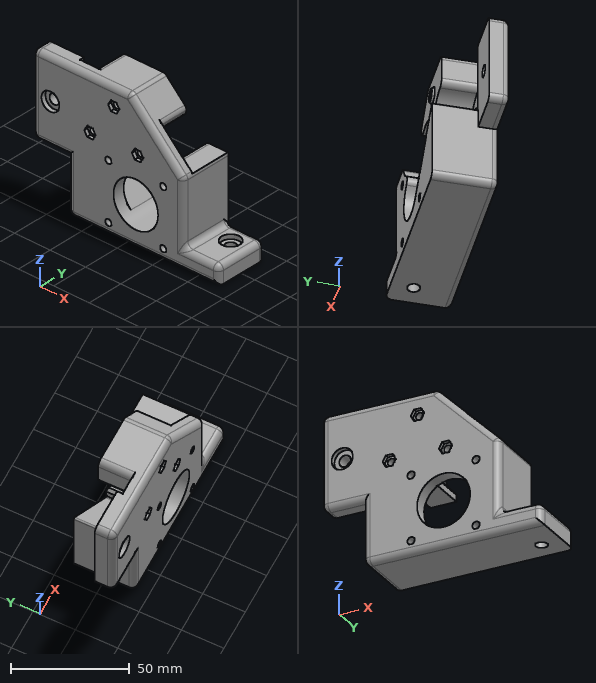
import cadquery as cq

import math

LENGTH = 105.0
DEPTH = 29.0
HEIGHT = 75.0
EDGE_RADIUS = 3.0
OVERCUT = 5.2

BODY_LEFT = 20.0
BODY_RIGHT = 84.8
EAR_BOTTOM = 30.0
EAR_THICKNESS = 9.0
EAR_REAR_END = 21.0
FOOT_HEIGHT = 10.1
SLOPE_TOP_X = 54.8
SLOPE_BOTTOM_Z = HEIGHT - (BODY_RIGHT - SLOPE_TOP_X)

FOOT_SPLIT_Y = DEPTH / 2
ROUNDED_CORNERS = [
    (0, EAR_BOTTOM),
    (0, HEIGHT),
    (SLOPE_TOP_X, HEIGHT),
    (BODY_RIGHT, SLOPE_BOTTOM_Z),
    (LENGTH, FOOT_HEIGHT),
    (BODY_LEFT, 0),
]
PICK_REACH = 0.1

MOTOR = (58.3, 21.4)
MOTOR_BORE_RADIUS = 12.6
MOTOR_SCREW_SPACING = 31.0
SCREW_HOLE_DIAMETER = 3.5

IDLER_SPACING = 26.9
IDLER_RISE = 18.5
IDLER_LEFT = (32.3, 46.3)
IDLER_RIGHT = (IDLER_LEFT[0] + IDLER_SPACING, IDLER_LEFT[1])
IDLER_TOP = (IDLER_LEFT[0] + IDLER_SPACING / 2, IDLER_LEFT[1] + IDLER_RISE)
IDLER_CLEARANCE_RADIUS = 12.5
NUT_WIDTH_ACROSS_CORNERS = 6.3
NUT_DEPTH = 2.0
SPACER_BASE_RADIUS = 3.8
SPACER_TOP_RADIUS = 2.9
SPACER_HEIGHT = 1.0

FLOOR_Y = 6.4
WALL_TOP_Z = 44.9
CHANNEL_SLOPE = 43.0
TIP_RADIUS = 0.5
BLOCK_LEFT = 29.8
BLOCK_RIGHT = 66.8
BLOCK_TOP_Y = 22.5
WEB_LEFT = 39.6
WEB_RIGHT = 52.1
WEB_BOTTOM = 32.5
WEB_TOP = 51.7
WEB_TOP_Y = BLOCK_TOP_Y + SPACER_HEIGHT

MOUNT_DIAMETER = 5.5
MOUNT_HEAD_DIAMETER = 10.1
MOUNT_HEAD_DEPTH = 2.5
EAR_HOLE = (10.0, 52.4)
FOOT_HOLE = (95.0, 18.9)


def at_depth(y):
    """Workplane across Y whose local axes are the part's X and Z."""
    return cq.Workplane("XZ", origin=(0, y, 0))


def prism(sketch, thickness):
    """Extrude a sketch drawn by at_depth toward the rear (+Y)."""
    return sketch.extrude(-thickness)


def box(x0, x1, y0, y1, z0, z1):
    return cq.Workplane("XY").box(x1 - x0, y1 - y0, z1 - z0, centered=False).translate((x0, y0, z0))


def cylinder(center, radius, y0, y1):
    return prism(at_depth(y0).center(*center).circle(radius), y1 - y0)


def toward(start, end, distance):
    """Point at a distance from start in the direction of end."""
    span = math.dist(start, end)
    return tuple(s + (e - s) * distance / span for s, e in zip(start, end))


def arc_middle(center, start, end):
    """Middle of the shorter circular arc between two points around a center."""
    chord_middle = ((start[0] + end[0]) / 2, (start[1] + end[1]) / 2)
    return toward(center, chord_middle, math.dist(center, start))


def edges_near(solid, low, high):
    """Edges whose middles lie inside the box between two corner points."""
    return solid.edges(cq.selectors.BoxSelector(low, high))


def corner_edge(solid, x, z):
    """Edge parallel to Y that stands on the outline corner (x, z)."""
    low = (x - PICK_REACH, -PICK_REACH, z - PICK_REACH)
    high = (x + PICK_REACH, DEPTH + PICK_REACH, z + PICK_REACH)
    return edges_near(solid, low, high).edges("|Y")


def make_body():
    """Main body with the ear and the front part of the foot, rounded all around the front."""
    main = prism(
        at_depth(0).polyline([
            (BODY_LEFT, 0),
            (BODY_RIGHT, 0),
            (BODY_RIGHT, SLOPE_BOTTOM_Z),
            (SLOPE_TOP_X, HEIGHT),
            (BODY_LEFT, HEIGHT),
        ]).close(),
        DEPTH,
    )
    ear = box(0, EAR_REAR_END, 0, EAR_THICKNESS, EAR_BOTTOM, HEIGHT)
    foot_front = box(BODY_LEFT, LENGTH, 0, FOOT_SPLIT_Y, 0, FOOT_HEIGHT)
    body = main.union(ear).union(foot_front).clean()

    edges = body.faces("<Y").edges()
    for x, z in ROUNDED_CORNERS:
        edges = edges.add(corner_edge(body, x, z))
    body = edges.fillet(EDGE_RADIUS)
    return corner_edge(body, BODY_RIGHT, FOOT_HEIGHT).fillet(EDGE_RADIUS)


def make_foot_rear():
    """Rear part of the foot with its inner corner, rounded along the rear and the right end."""
    root_x = BODY_RIGHT - EDGE_RADIUS
    corner_top = (BODY_RIGHT, FOOT_HEIGHT + EDGE_RADIUS)
    corner_end = (BODY_RIGHT + EDGE_RADIUS, FOOT_HEIGHT)
    corner_center = (corner_end[0], corner_top[1])
    foot = prism(
        at_depth(FOOT_SPLIT_Y)
        .moveTo(root_x, 0)
        .lineTo(LENGTH, 0)
        .lineTo(LENGTH, FOOT_HEIGHT)
        .lineTo(*corner_end)
        .threePointArc(arc_middle(corner_center, corner_end, corner_top), corner_top)
        .lineTo(root_x, corner_top[1])
        .close(),
        DEPTH - FOOT_SPLIT_Y,
    )
    rear_low = (BODY_RIGHT + PICK_REACH, DEPTH - PICK_REACH, PICK_REACH)
    rear_high = (LENGTH + PICK_REACH, DEPTH + PICK_REACH, HEIGHT)
    edges = edges_near(foot, rear_low, rear_high).add(corner_edge(foot, LENGTH, FOOT_HEIGHT))
    return edges.fillet(EDGE_RADIUS)


def make_pocket():
    """Open space behind the front plate, before the raised block is left standing."""
    slope = math.radians(CHANNEL_SLOPE)
    run = (math.cos(slope), -math.sin(slope))
    line_end = (MOTOR[0] + run[1] * MOTOR_BORE_RADIUS, MOTOR[1] - run[0] * MOTOR_BORE_RADIUS)
    sharp_tip = (BODY_LEFT, line_end[1] + (BODY_LEFT - line_end[0]) * run[1] / run[0])

    tip_angle = math.acos(-run[1])
    tip_setback = TIP_RADIUS / math.tan(tip_angle / 2)
    tip_start = (BODY_LEFT, sharp_tip[1] - tip_setback)
    tip_end = toward(sharp_tip, line_end, tip_setback)
    tip_center = (BODY_LEFT + TIP_RADIUS, tip_start[1])

    bore_reach = MOTOR_BORE_RADIUS + EDGE_RADIUS
    idler_reach = IDLER_CLEARANCE_RADIUS + EDGE_RADIUS
    span = math.dist(MOTOR, IDLER_RIGHT)
    along = (span**2 + bore_reach**2 - idler_reach**2) / (2 * span)
    aside = math.sqrt(bore_reach**2 - along**2)
    foot = toward(MOTOR, IDLER_RIGHT, along)
    unit = toward((0, 0), (IDLER_RIGHT[0] - MOTOR[0], IDLER_RIGHT[1] - MOTOR[1]), 1)
    nose = (foot[0] + unit[1] * aside, foot[1] - unit[0] * aside)
    nose_start = toward(MOTOR, nose, MOTOR_BORE_RADIUS)
    nose_end = toward(IDLER_RIGHT, nose, IDLER_CLEARANCE_RADIUS)

    shoulder_z = WALL_TOP_Z - EDGE_RADIUS
    shoulder_x = IDLER_RIGHT[0] + math.sqrt(idler_reach**2 - (shoulder_z - IDLER_RIGHT[1])**2)
    shoulder = (shoulder_x, shoulder_z)
    shoulder_start = toward(IDLER_RIGHT, shoulder, IDLER_CLEARANCE_RADIUS)
    shoulder_end = (shoulder_x, WALL_TOP_Z)

    far_left = BODY_LEFT - OVERCUT
    outline = (
        at_depth(FLOOR_Y)
        .moveTo(far_left, tip_start[1])
        .lineTo(*tip_start)
        .threePointArc(arc_middle(tip_center, tip_start, tip_end), tip_end)
        .lineTo(*line_end)
        .threePointArc((MOTOR[0], MOTOR[1] - MOTOR_BORE_RADIUS), nose_start)
        .threePointArc(arc_middle(nose, nose_start, nose_end), nose_end)
        .threePointArc(arc_middle(IDLER_RIGHT, nose_end, shoulder_start), shoulder_start)
        .threePointArc(arc_middle(shoulder, shoulder_start, shoulder_end), shoulder_end)
        .lineTo(BODY_RIGHT + OVERCUT, WALL_TOP_Z)
        .lineTo(BODY_RIGHT + OVERCUT, HEIGHT + OVERCUT)
        .lineTo(far_left, HEIGHT + OVERCUT)
        .close()
    )
    ear_rear = box(-OVERCUT, EAR_REAR_END, 0, EAR_THICKNESS, 0, HEIGHT + 2 * OVERCUT)
    pocket = prism(outline, DEPTH)
    return pocket.cut(ear_rear)


def make_block():
    """Raised block with a narrow web reaching down between the two lower idlers."""
    neck_z = IDLER_LEFT[1]
    block_right_top = HEIGHT - (BLOCK_RIGHT - SLOPE_TOP_X)
    block = prism(
        at_depth(FLOOR_Y).polyline([
            (BLOCK_LEFT, neck_z),
            (BLOCK_RIGHT, neck_z),
            (BLOCK_RIGHT, block_right_top),
            (SLOPE_TOP_X, HEIGHT),
            (BLOCK_LEFT, HEIGHT),
        ]).close(),
        BLOCK_TOP_Y - FLOOR_Y,
    )
    web = box(WEB_LEFT, WEB_RIGHT, FLOOR_Y, WEB_TOP_Y, WEB_BOTTOM, WEB_TOP)
    for center in (IDLER_LEFT, IDLER_RIGHT):
        clearance = cylinder(center, IDLER_CLEARANCE_RADIUS, 0, DEPTH)
        block = block.cut(clearance)
        web = web.cut(clearance)
    web = web.cut(cylinder(MOTOR, MOTOR_BORE_RADIUS, 0, DEPTH))
    for side in ("<X", ">X"):
        block = block.faces(side).edges("|Y").fillet(EDGE_RADIUS)
    return block.union(web)


def make_spacer(center, base_y):
    """Short cone that keeps an idler clear of the surface it is screwed to."""
    cone = cq.Solid.makeCone(
        SPACER_BASE_RADIUS,
        SPACER_TOP_RADIUS,
        SPACER_HEIGHT,
        pnt=cq.Vector(center[0], base_y, center[1]),
        dir=cq.Vector(0, 1, 0),
    )
    return cq.Workplane(cone)


def cut_idler_hole(solid, center):
    """Through hole with a hexagonal nut recess in the front."""
    nut = prism(at_depth(0).center(*center).polygon(6, NUT_WIDTH_ACROSS_CORNERS), NUT_DEPTH)
    return solid.cut(cylinder(center, SCREW_HOLE_DIAMETER / 2, 0, DEPTH)).cut(nut)


def cut_motor_holes(solid):
    """Motor bore and its four screw holes."""
    solid = solid.cut(cylinder(MOTOR, MOTOR_BORE_RADIUS, 0, DEPTH))
    half = MOTOR_SCREW_SPACING / 2
    for dx in (-half, half):
        for dz in (-half, half):
            center = (MOTOR[0] + dx, MOTOR[1] + dz)
            solid = solid.cut(cylinder(center, SCREW_HOLE_DIAMETER / 2, 0, DEPTH))
    return solid


def cut_mounting_holes(solid):
    """Counterbored holes: one through the ear along Y, one through the foot along Z."""
    solid = solid.cut(cylinder(EAR_HOLE, MOUNT_DIAMETER / 2, 0, EAR_THICKNESS))
    solid = solid.cut(cylinder(EAR_HOLE, MOUNT_HEAD_DIAMETER / 2, 0, MOUNT_HEAD_DEPTH))
    foot_top = cq.Workplane("XY", origin=(*FOOT_HOLE, FOOT_HEIGHT))
    solid = solid.cut(foot_top.circle(MOUNT_DIAMETER / 2).extrude(-FOOT_HEIGHT))
    return solid.cut(foot_top.circle(MOUNT_HEAD_DIAMETER / 2).extrude(-MOUNT_HEAD_DEPTH))


body = make_body().union(make_foot_rear())
result = body.cut(make_pocket().cut(make_block()))
for idler, base_y in ((IDLER_TOP, BLOCK_TOP_Y), (IDLER_LEFT, FLOOR_Y), (IDLER_RIGHT, FLOOR_Y)):
    result = result.union(make_spacer(idler, base_y))
    result = cut_idler_hole(result, idler)
result = cut_motor_holes(result)
result = cut_mounting_holes(result)